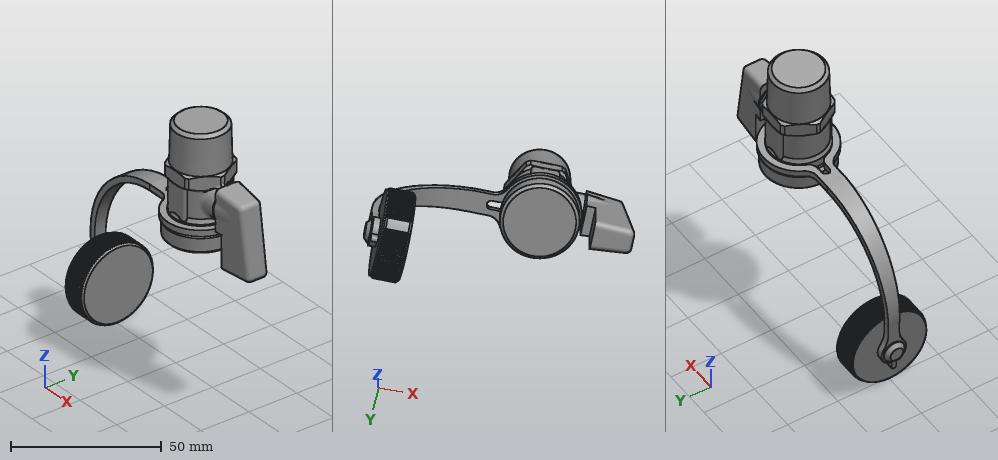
import cadquery as cq
import math


overall_height = 100.2
total_top = 44.1
thread_bottom = 28.7
thread_bottom_radius = 10.6
thread_top_radius = 10.2
thread_chamfer = 1.3
barrel_radius = 10.5
flange_radius = 13.2
flange_chamfer = 1.1
flange_shoulder_z = 6.2
flange_neck_radius = 12.1
collar_radius = 11.2
collar_edge_z = 10.4
collar_blend_z = 11.3
collar_blend_radius = 10.8
barrel_bottom = 12.1

hex_across_flats = 21.6
hex_corner_radius = 12.0
hex_bottom = 22.5
hex_chamfer_bottom = 23.3
hex_edge_bottom = 23.9
hex_edge_top = 28.1

pad_half_width = 4.9
pad_face = 10.6
pad_edge_radius = 1.3
pad_bottom = 10.6

stem_z = 18.1
stem_radius = 6.0
stem_end = 14.3
stem_blend = 1.7
stem_hex_blend = 1.2
spindle_radius = 5.6

handle_inner = 14.9
handle_lower_inner = 17.9
handle_step_z = 10.0
handle_top_inner_z = 26.2
handle_top_corner = (27.6, 24.6)
handle_bottom_corner = (32.0, -3.2)
handle_bottom_inner_z = -3.9
handle_root_half_width = 5.3
handle_tip_half_width = 4.2
handle_edge_radius = 2.0
hub_root_radius = 6.1
hub_tip_radius = 4.6
hub_tip = 25.0
hub_blend = 1.6

strap_thickness = 2.4
strap_bottom = 7.4
strap_top = strap_bottom + strap_thickness
ring_radius = 13.9
ring_neck_radius = 4.8
strap_wide_half = 3.8
strap_narrow_half = 2.2
slot_half_width = 1.5
slot_end = 17.9
slot_flare_radius = 3.9
bend_start = 23.1
bend_end_z = -29.2
bend_center_x = -21.4
bend_outer_radius = 36.1
eyelet_radius = 4.9
eyelet_neck_radius = 10.0
tab_half_width = 0.9
tab_reach = 8.0
tab_tip_radius = 0.8

cap_radius = 15.2
cap_z = total_top - overall_height + cap_radius
cap_rim_radius = 14.6
cap_rim_length = 0.6
cap_length = 9.8
cap_back_chamfer_length = 0.7
cap_back_chamfer_depth = 0.4
cap_front_chamfer = 0.9
groove_positions = 100
plain_sector_grooves = 4
plain_sector_angle = -123.3
groove_depth = 0.3

pin_radius = 4.1
pin_tip_radius = 2.6
pin_land = 0.4
pin_height = 1.9

bend_inner_radius = bend_outer_radius - strap_thickness
bend_first_angle = math.asin((bend_start + bend_center_x) / bend_outer_radius)
bend_center_z = strap_top - bend_outer_radius * math.cos(bend_first_angle)
bend_last_angle = math.pi / 2 + math.asin((bend_center_z - bend_end_z) / bend_outer_radius)
strap_face_x = bend_center_x - bend_outer_radius * math.sin(bend_last_angle)
cap_face_x = strap_face_x + strap_thickness
strap_hang_z = bend_center_z + bend_inner_radius * math.cos(bend_last_angle)


def revolve_z(points):
    """Solid of revolution about Z from (radius, z) points."""
    return cq.Workplane("XZ").polyline(points).close().revolve(360, (0, 0, 0), (0, 1, 0))


def revolve_x(points, axis_z):
    """Solid of revolution about a line parallel to X from (x, radius) points."""
    profile = cq.Workplane("XZ", origin=(0, 0, axis_z)).polyline(points).close()
    return profile.revolve(360, (0, 0, 0), (1, 0, 0))


def tailed_disc(plane, radius, tail_half, neck_radius, tail_end, round_end, height):
    """Disc with a parallel tail along local -x, joined to it by two concave neck arcs."""
    neck_y = tail_half + neck_radius
    neck_x = -math.sqrt((radius + neck_radius) ** 2 - neck_y**2)
    touch_scale = radius / (radius + neck_radius)
    touch = (neck_x * touch_scale, neck_y * touch_scale)
    touch_angle = math.atan2(-neck_y, -neck_x)
    mid_angle = (touch_angle - math.pi / 2) / 2
    middle = (neck_x + neck_radius * math.cos(mid_angle), neck_y + neck_radius * math.sin(mid_angle))

    outline = (
        cq.Workplane(plane)
        .moveTo(neck_x, tail_half)
        .threePointArc(middle, touch)
        .threePointArc((radius, 0), (touch[0], -touch[1]))
        .threePointArc((middle[0], -middle[1]), (neck_x, -tail_half))
    )
    if round_end:
        outline = outline.lineTo(-tail_end + tail_half, -tail_half)
        outline = outline.threePointArc((-tail_end, 0), (-tail_end + tail_half, tail_half))
    else:
        outline = outline.lineTo(-tail_end, -tail_half).lineTo(-tail_end, tail_half)
    return outline.close().extrude(height)


def hex_prism(bottom, top):
    """Sharp hexagonal prism with two corners on the X axis."""
    across_corners = hex_across_flats / math.cos(math.pi / 6)
    return cq.Workplane("XY", origin=(0, 0, bottom)).polygon(6, across_corners).extrude(top - bottom)


def blend_stem(core, blend_radius):
    """Join the stem to an upright core and round the concave joint."""
    tolerance = 0.01
    stem = cq.Workplane("YZ", origin=(0, 0, stem_z)).circle(stem_radius).extrude(stem_end)
    joined = core.union(stem)

    def on_joint(point):
        on_stem = abs(math.hypot(point.y, point.z - stem_z) - stem_radius) < tolerance
        return on_stem and 0 < point.x < stem_end - tolerance

    joint = [e for e in joined.edges().vals() if on_joint(e.startPoint()) and on_joint(e.endPoint())]
    return joined.newObject(joint).fillet(blend_radius)


def make_barrel_and_stem():
    barrel = cq.Workplane("XY", origin=(0, 0, strap_bottom)).circle(barrel_radius)
    barrel = blend_stem(barrel.extrude(thread_bottom - strap_bottom), stem_blend)

    hex_core = hex_prism(strap_bottom, hex_edge_top)
    corners = cq.Workplane("XY").circle(hex_corner_radius).extrude(total_top)
    hex_core = blend_stem(hex_core.intersect(corners), stem_hex_blend)
    upper_zone = cq.Workplane("XY", origin=(0, 0, hex_edge_bottom)).rect(total_top, total_top)
    hex_core = hex_core.intersect(upper_zone.extrude(hex_edge_top - hex_edge_bottom))

    spindle = cq.Workplane("YZ", origin=(0, 0, stem_z)).circle(spindle_radius)
    return barrel.union(hex_core).union(spindle.extrude(handle_inner))


def make_flange_and_collar():
    return revolve_z([
        (0, 0),
        (flange_radius - flange_chamfer, 0),
        (flange_radius, flange_chamfer),
        (flange_radius, flange_shoulder_z),
        (flange_neck_radius, strap_bottom),
        (collar_radius, strap_bottom),
        (collar_radius, collar_edge_z),
        (collar_blend_radius, collar_blend_z),
        (barrel_radius, barrel_bottom),
        (0, barrel_bottom),
    ])


def make_thread_end():
    return revolve_z([
        (0, hex_bottom),
        (thread_bottom_radius, thread_bottom),
        (thread_top_radius, total_top - thread_chamfer),
        (thread_top_radius - thread_chamfer, total_top),
        (0, total_top),
    ])


def make_hex():
    prism = hex_prism(hex_bottom, thread_bottom)
    envelope = revolve_z([
        (0, hex_bottom),
        (barrel_radius, hex_bottom),
        (hex_across_flats / 2, hex_chamfer_bottom),
        (hex_corner_radius, hex_edge_bottom),
        (hex_corner_radius, hex_edge_top),
        (thread_bottom_radius, thread_bottom),
        (0, thread_bottom),
    ])
    return prism.intersect(envelope)


def make_pads():
    height = hex_edge_bottom - pad_bottom
    pads = cq.Workplane("XY", origin=(0, 0, pad_bottom)).rect(2 * pad_half_width, 2 * pad_face)
    return pads.extrude(height).edges("|Z").fillet(pad_edge_radius)


def make_handle():
    blade = (
        cq.Workplane("XZ")
        .polyline([
            (handle_inner, handle_top_inner_z),
            handle_top_corner,
            handle_bottom_corner,
            (handle_lower_inner, handle_bottom_inner_z),
            (handle_lower_inner, handle_step_z),
            (handle_inner, handle_step_z),
        ])
        .close()
        .extrude(handle_root_half_width, both=True)
    )
    tip_x = handle_bottom_corner[0]
    taper = (
        cq.Workplane("XY", origin=(0, 0, handle_bottom_inner_z))
        .polyline([
            (handle_inner, -handle_root_half_width),
            (tip_x, -handle_tip_half_width),
            (tip_x, handle_tip_half_width),
            (handle_inner, handle_root_half_width),
        ])
        .close()
        .extrude(handle_top_inner_z - handle_bottom_inner_z)
    )
    blade = blade.intersect(taper)

    margin = 0.5
    rim_zone = cq.selectors.BoxSelector(
        (handle_lower_inner + margin, -handle_root_half_width - margin, handle_bottom_inner_z - margin),
        (tip_x + margin, handle_root_half_width + margin, handle_top_inner_z + margin),
    )
    blade = blade.edges(rim_zone).fillet(handle_edge_radius)

    hub = revolve_x([
        (handle_inner, 0),
        (handle_inner, hub_root_radius),
        (hub_tip, hub_tip_radius),
        (hub_tip, 0),
    ], stem_z)
    handle = blade.union(hub)
    hub_zone = cq.selectors.BoxSelector(
        (handle_inner + margin, -hub_root_radius, stem_z - hub_tip_radius),
        (hub_tip, hub_root_radius, stem_z + hub_tip_radius),
    )
    return handle.edges(hub_zone).fillet(hub_blend)


def make_strap():
    ring = tailed_disc(
        cq.Plane((0, 0, strap_bottom)),
        ring_radius, strap_wide_half, ring_neck_radius, bend_start, False, strap_thickness,
    )
    keyhole = tailed_disc(
        cq.Plane((0, 0, strap_bottom)),
        collar_radius, slot_half_width, slot_flare_radius, slot_end, True, strap_thickness,
    )
    ring = ring.cut(keyhole)

    middle_radius = bend_outer_radius - strap_thickness / 2

    def bend_point(angle):
        return (
            bend_center_x - middle_radius * math.sin(angle),
            bend_center_z + middle_radius * math.cos(angle),
        )

    def section(angle, half_width):
        x, z = bend_point(angle)
        along = (-math.cos(angle), 0, -math.sin(angle))
        plane = cq.Plane((x, 0, z), (0, 1, 0), along)
        return cq.Workplane(plane).rect(2 * half_width, strap_thickness).wires().val()

    path = cq.Workplane("XZ").moveTo(*bend_point(bend_first_angle))
    bend_middle = bend_point((bend_first_angle + bend_last_angle) / 2)
    path = path.threePointArc(bend_middle, bend_point(bend_last_angle))
    sections = cq.Workplane("XY").add([
        section(bend_first_angle, strap_wide_half),
        section(bend_last_angle, strap_narrow_half),
    ]).toPending()
    bend = sections.sweep(path, multisection=True)

    hanging_plane = cq.Plane((strap_face_x, 0, cap_z), (0, 0, -1), (1, 0, 0))
    eyelet = tailed_disc(
        hanging_plane,
        eyelet_radius, strap_narrow_half, eyelet_neck_radius, strap_hang_z - cap_z, False, strap_thickness,
    )
    tab = cq.Workplane(hanging_plane).center(tab_reach / 2, 0).rect(tab_reach, 2 * tab_half_width)
    tab = tab.extrude(strap_thickness).faces("<Z").edges("|X").fillet(tab_tip_radius)
    return ring.union(bend).union(eyelet).union(tab)


def make_cap():
    back = cap_face_x + cap_rim_length
    front = cap_face_x + cap_length
    cap = revolve_x([
        (cap_face_x, 0),
        (cap_face_x, cap_rim_radius),
        (back, cap_rim_radius),
        (back, cap_radius - cap_back_chamfer_depth),
        (back + cap_back_chamfer_length, cap_radius),
        (front - cap_front_chamfer, cap_radius),
        (front, cap_radius - cap_front_chamfer),
        (front, 0),
    ], cap_z)

    pitch = 2 * math.pi / groove_positions
    groove_count = groove_positions - plain_sector_grooves
    sector_middle = math.radians(plain_sector_angle)
    first_angle = sector_middle + plain_sector_grooves / 2 * pitch

    def rim_point(radius, angle):
        return radius * math.cos(angle), radius * math.sin(angle)

    ridges = [rim_point(cap_radius, first_angle + i * pitch) for i in range(groove_count + 1)]
    roots = [
        rim_point(cap_radius - groove_depth, first_angle + (i + 0.5) * pitch)
        for i in range(groove_count)
    ]
    outline = cq.Workplane("YZ", origin=(cap_face_x, 0, cap_z)).moveTo(*ridges[0])
    for root, ridge in zip(roots, ridges[1:]):
        outline = outline.lineTo(*root).lineTo(*ridge)
    outline = outline.threePointArc(rim_point(cap_radius, sector_middle), ridges[0]).close()
    return cap.intersect(outline.extrude(cap_length))


def make_pin():
    return revolve_x([
        (cap_face_x, 0),
        (cap_face_x, pin_radius),
        (strap_face_x - pin_land, pin_radius),
        (strap_face_x - pin_height, pin_tip_radius),
        (strap_face_x - pin_height, 0),
    ], cap_z)


result = make_barrel_and_stem()
for piece in (
    make_flange_and_collar(),
    make_thread_end(),
    make_hex(),
    make_pads(),
    make_handle(),
    make_strap(),
    make_cap(),
    make_pin(),
):
    result = result.union(piece)